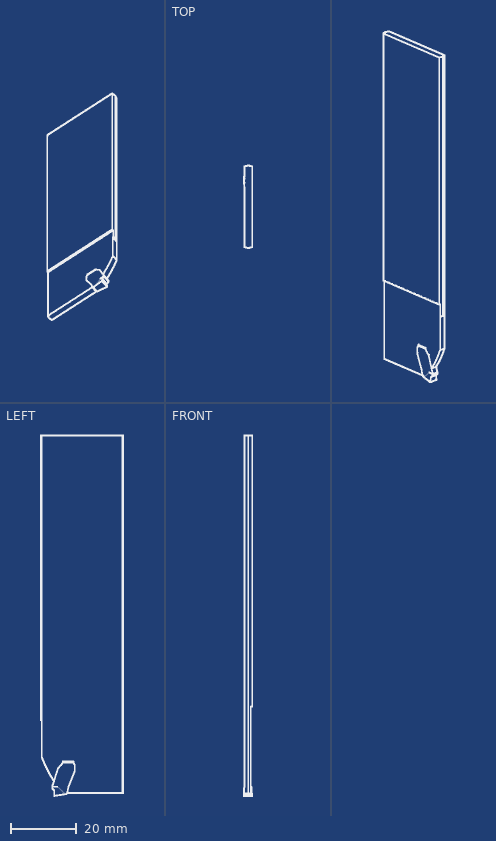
import cadquery as cq
import math

length = 110.0
width = 25.3
blade_left = -1.1
blade_right = 1.3
ridge_x = (blade_left + blade_right) / 2
ridge_height = 0.3
edge_y = width / 2 - ridge_height
blade_bottom = 0.9

relief_top = 27.3
relief_depth = 0.4
relief_x = blade_right - relief_depth
ridge_end = 23.1
nose_start = (edge_y, 11.9)
nose_middle = (11.1, 9.0)
nose_end = (8.6, 4.5)

seat_corner = (4.5, blade_bottom)
seat_back = [(4.2, 2.6), (2.2, 7.6), (2.2, 9.5), (2.6, 10.2)]
seat_front = [(5.8, 10.2), (6.3, 9.6), (7.3, 8.6)]
seat_gap = 0.3
head_corner = (9.1, 2.9)
head_chip_edge = [(9.1, 2.3), (8.5, 1.6)]
tip = (8.5, 0.0)
heel = (4.8, 0.5)

head_half_width = 1.3
flare_start = (7.5, 2.9)
flare_end = (5.6, 1.1)


def extrude_outline(points, x_start, x_end):
    """Extrude a closed (Y, Z) outline from x_start to x_end."""
    plane = cq.Workplane("YZ", origin=(x_start, 0, 0))
    return plane.polyline(points).close().extrude(x_end - x_start)


def make_blank():
    """Flat bar with a V ridge along both long edges."""
    profile = [
        (blade_left, -edge_y),
        (ridge_x, -width / 2),
        (blade_right, -edge_y),
        (blade_right, edge_y),
        (ridge_x, width / 2),
        (blade_left, edge_y),
    ]
    base = cq.Workplane("XY", origin=(0, 0, blade_bottom))
    return base.polyline(profile).close().extrude(length - blade_bottom)


def make_nose_cutter():
    """Material outside the curved nose."""
    return (
        cq.Workplane("YZ", origin=(-width, 0, 0))
        .moveTo(*nose_start)
        .threePointArc(nose_middle, nose_end)
        .lineTo(*head_corner)
        .lineTo(head_corner[0], 0)
        .lineTo(width, 0)
        .lineTo(width, nose_start[1])
        .close()
        .extrude(2 * width)
    )


def make_seat_cutter():
    """Insert pocket, open toward the tip and clear above the insert."""
    inner_end = seat_back[-1]
    outer_end = seat_front[0]
    outline = [
        seat_corner,
        *seat_back,
        (inner_end[0], inner_end[1] + seat_gap),
        (outer_end[0], outer_end[1] + seat_gap),
        *seat_front,
        nose_end,
        head_corner,
        (head_corner[0], 0),
        (seat_corner[0], 0),
    ]
    return extrude_outline(outline, -width, width)


def make_blade():
    relief = cq.Workplane("XY").box(width, 2 * width, relief_top, centered=(False, True, False))
    ridge_cut = cq.Workplane("XY").box(width, width, ridge_end, centered=(True, False, False))
    return (
        make_blank()
        .cut(relief.translate((relief_x, 0, 0)))
        .cut(ridge_cut.translate((0, edge_y, 0)))
        .cut(make_nose_cutter())
        .cut(make_seat_cutter())
    )


def make_flare():
    """Wedge that widens from the insert body to full head width at the tip."""
    run_y = flare_start[0] - flare_end[0]
    run_z = flare_start[1] - flare_end[1]
    run = math.hypot(run_y, run_z)
    outward = (run_z / run, -run_y / run)
    reach = (tip[0] - flare_end[0]) * outward[0] + (tip[1] - flare_end[1]) * outward[1]
    plane = cq.Plane(
        origin=(0, *flare_end),
        xDir=(1, 0, 0),
        normal=(0, -run_y / run, -run_z / run),
    )
    profile = [
        (blade_left, 0),
        (relief_x, 0),
        (head_half_width, -reach),
        (-head_half_width, -reach),
    ]
    return cq.Workplane(plane).polyline(profile).close().extrude(2 * width, both=True)


def make_insert():
    head_edge = [head_corner, *head_chip_edge, tip, heel]
    body = extrude_outline(
        [seat_corner, *seat_back, *seat_front, nose_end, *head_edge], blade_left, relief_x
    )
    head = extrude_outline(
        [flare_start, *head_edge], -head_half_width, head_half_width
    )
    return body.union(head.intersect(make_flare()))


blade = make_blade()
insert = make_insert()
result = cq.Compound.makeCompound([blade.solids().val(), insert.solids().val()])